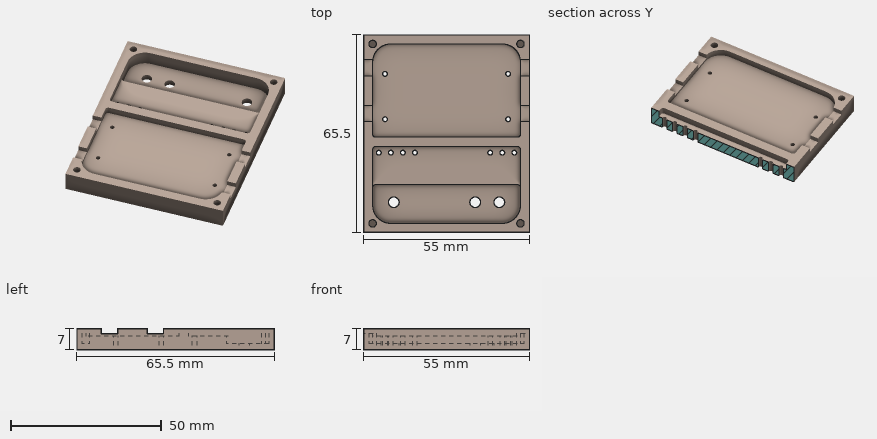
import cadquery as cq

width = 55.0
length = 65.5
thickness = 7.0
wall = 3.0

pocket_width = width - 2 * wall
pocket_depth = 2.5
upper_pocket_length = 30.9
lower_pocket_length = 25.5
well_length = 12.85
well_depth = 5.0
outer_corner_radius = 6.0
inner_corner_radius = 1.0
upper_pocket_top = length / 2 - wall
lower_pocket_bottom = -length / 2 + wall

notch_width = 5.4
notch_depth = 1.7
notch_spacing = 15.2
upper_notch_y = 21.9

screw_diameter = 2.5
screw_depth = 5.0
screw_inset = 3.0

small_diameter = 1.5
mount_spacing_x = 40.8
mount_spacing_y = 15.05
mount_center_y = 12.3

pin_pitch = 4.0
pin_row_y = -6.3
left_pin_count = 4
right_pin_count = 3
pin_inset = 5.05

cable_diameter = 3.5
cable_y = -22.7
cable_xs = (-17.5, 9.5, 17.5)


def pocket(bottom_y, pocket_length, depth, bottom_radius, top_radius):
    """Cutter for a pocket open at the top face, with its own radius at each end."""
    block = cq.Workplane("XY").box(pocket_width, pocket_length, depth, centered=(True, False, False))
    block = block.edges("|Z and <Y").fillet(bottom_radius)
    block = block.edges("|Z and >Y").fillet(top_radius)
    return block.translate((0, bottom_y, thickness - depth))


def drill(body, points, diameter, depth):
    """Cut round holes of the given depth down from the top face."""
    start = cq.Workplane("XY").workplane(offset=thickness)
    return body.cut(start.pushPoints(points).circle(diameter / 2).extrude(-depth))


def rectangle_corners(spacing_x, spacing_y, center_y=0.0):
    return [(sx * spacing_x / 2, center_y + sy * spacing_y / 2) for sx in (-1, 1) for sy in (-1, 1)]


plate = cq.Workplane("XY").box(width, length, thickness, centered=(True, True, False))

plate = plate.cut(
    pocket(upper_pocket_top - upper_pocket_length, upper_pocket_length, pocket_depth,
           inner_corner_radius, outer_corner_radius)
)
for cut_length, depth in ((lower_pocket_length, pocket_depth), (well_length, well_depth)):
    plate = plate.cut(
        pocket(lower_pocket_bottom, cut_length, depth, outer_corner_radius, inner_corner_radius)
    )

for notch_y in (upper_notch_y, upper_notch_y - notch_spacing):
    notch = cq.Workplane("XY").box(width, notch_width, notch_depth, centered=(True, True, False))
    plate = plate.cut(notch.translate((0, notch_y, thickness - notch_depth)))

screw_points = rectangle_corners(width - 2 * screw_inset, length - 2 * screw_inset)
plate = drill(plate, screw_points, screw_diameter, screw_depth)

mount_points = rectangle_corners(mount_spacing_x, mount_spacing_y, mount_center_y)
plate = drill(plate, mount_points, small_diameter, thickness)

first_pin_x = width / 2 - pin_inset
left_pins = [(-first_pin_x + i * pin_pitch, pin_row_y) for i in range(left_pin_count)]
right_pins = [(first_pin_x - i * pin_pitch, pin_row_y) for i in range(right_pin_count)]
plate = drill(plate, left_pins + right_pins, small_diameter, thickness)

plate = drill(plate, [(x, cable_y) for x in cable_xs], cable_diameter, thickness)

result = plate